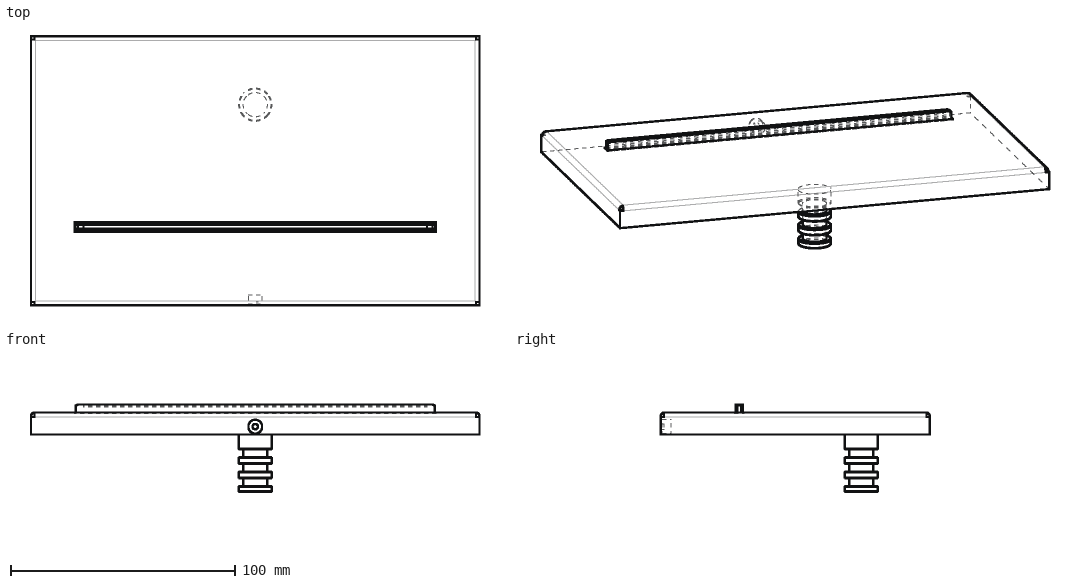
import cadquery as cq

plate_length = 200.0
plate_width = 120.0
plate_height = 10.0
edge_radius = 2.0
corner_notch = 1.5

bar_length = 160.0
bar_width = 3.5
bar_height = 4.0
bar_y = -25.0
bar_clearance = 0.5
recess_depth = 0.5
bar_base_z = plate_height - recess_depth
end_chamfer_length = 1.0
end_chamfer_drop = 0.45
insert_width = 1.5
rail_width = (bar_width - insert_width) / 2

channel_length = 153.2
channel_front_depth = 0.5
channel_back_depth = 1.1

plug_diameter = 6.2
plug_z = 3.5
plug_length = 4.0
plug_recess = 0.5
plug_hole_diameter = 2.5
plug_hole_depth = 1.0

total_height = 39.0
stem_length = total_height - bar_base_z - bar_height
stem_y = 29.5
ring_diameter = 14.8
core_diameter = 10.8
collar_height = 6.5
groove_width = 3.5
ring_height = 3.0
ring_pitch = groove_width + ring_height
ring_count = 3
ring_chamfer = 0.42


def make_plate():
    """Plate with rounded top edges, notched corners, a bar recess and a plug hole."""
    plate = cq.Workplane("XY").box(plate_length, plate_width, plate_height, centered=(True, True, False))
    plate = plate.faces(">Z").edges().fillet(edge_radius)
    notches = (
        cq.Workplane("XY", origin=(0, 0, plate_height - edge_radius))
        .rect(plate_length - corner_notch, plate_width - corner_notch, forConstruction=True)
        .vertices()
        .rect(corner_notch, corner_notch)
        .extrude(edge_radius)
    )
    recess = cq.Workplane("XY", origin=(0, bar_y, bar_base_z)).box(
        bar_length + 2 * bar_clearance,
        bar_width + 2 * bar_clearance,
        recess_depth,
        centered=(True, True, False),
    )
    plug_hole = (
        cq.Workplane("XZ", origin=(0, -plate_width / 2, plug_z))
        .circle(plug_diameter / 2)
        .extrude(-(plug_recess + plug_length))
    )
    return plate.cut(notches).cut(recess).cut(plug_hole)


def make_strip(center_y, width):
    """Full-length strip of the bar, with both top ends sloping down."""
    half = bar_length / 2
    shoulder_z = bar_height - end_chamfer_drop
    outline = [
        (-half, 0),
        (half, 0),
        (half, shoulder_z),
        (half - end_chamfer_length, bar_height),
        (-half + end_chamfer_length, bar_height),
        (-half, shoulder_z),
    ]
    start = cq.Workplane("XZ", origin=(0, center_y + width / 2, bar_base_z))
    return start.polyline(outline).close().extrude(width)


def make_rail(side):
    """Rail along the front (-1) or back (+1) of the insert."""
    return make_strip(bar_y + side * (insert_width + rail_width) / 2, rail_width)


def make_insert():
    """Strip between the rails, with a sloped channel that stops short of both ends."""
    half = insert_width / 2
    channel = (
        cq.Workplane("YZ", origin=(-channel_length / 2, bar_y, bar_base_z + bar_height))
        .polyline([(-half, 0), (-half, -channel_front_depth), (half, -channel_back_depth), (half, 0)])
        .close()
        .extrude(channel_length)
    )
    return make_strip(bar_y, insert_width).cut(channel)


def make_plug():
    """Plug with a small blind hole in the middle of its outer face."""
    outer_face = cq.Workplane("XZ", origin=(0, -plate_width / 2 + plug_recess, plug_z))
    plug = outer_face.circle(plug_diameter / 2).extrude(-plug_length)
    hole = outer_face.circle(plug_hole_diameter / 2).extrude(-plug_hole_depth)
    return plug.cut(hole)


def make_ring(top_z, bottom_z):
    """Full-diameter disc of the stem between two heights."""
    return cq.Workplane("XY", origin=(0, stem_y, bottom_z)).circle(ring_diameter / 2).extrude(top_z - bottom_z)


def make_stem():
    """Core with a collar at the top and a chamfered ring below each groove."""
    stem = cq.Workplane("XY", origin=(0, stem_y, -stem_length)).circle(core_diameter / 2).extrude(stem_length)
    stem = stem.union(make_ring(0, -collar_height).faces("<Z").edges().chamfer(ring_chamfer))
    for index in range(ring_count):
        ring_top = -collar_height - groove_width - index * ring_pitch
        ring_bottom = max(ring_top - ring_height, -stem_length)
        ring = make_ring(ring_top, ring_bottom).edges().chamfer(ring_chamfer)
        stem = stem.union(ring)
    return stem


plate = make_plate()
rails = [make_rail(side) for side in (-1, 1)]
insert = make_insert()
plug = make_plug()
stem = make_stem()

result = cq.Compound.makeCompound(
    [plate.val(), *[rail.val() for rail in rails], insert.val(), plug.val(), stem.val()]
)